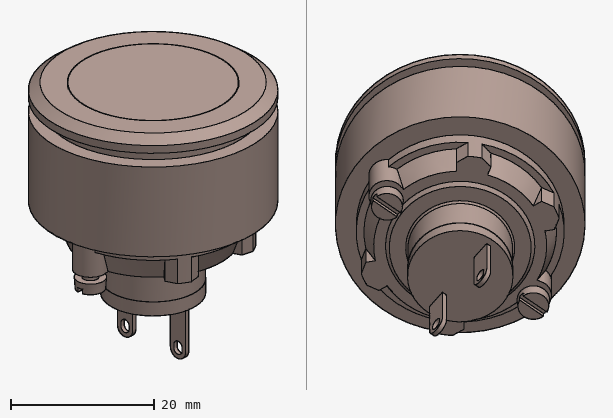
import cadquery as cq
import math

total_height = 41.3
rim_chamfer_z = 40.15
rim_bottom_z = 38.95
body_top_z = 36.8
body_bottom_z = 22.8
ring_bottom_z = 20.77
arm_bottom_z = 16.95
flange_bottom_z = 16.4
step_bottom_z = 16.1
collar_top_z = 10.7
collar_bottom_z = 8.5

body_radius = 34.8 / 2
top_face_radius = 15.78
rim_groove_radius = 15.07
ring_radius = 14.5
cone_top_radius = 13.42
cone_bottom_radius = 12.05
flange_top_radius = 10.4
flange_bottom_radius = 19.8 / 2
step_top_radius = 7.6
neck_radius = 14.6 / 2
collar_radius = 14.7 / 2

button_diameter = 23.8
button_hole_diameter = 23.95
button_gap_depth = 0.4

lug_angles = (30, 150, 210, 330)
boss_angles = (90, 270)
boss_center_radius = 12.95
boss_radius = 2.5
lug_shoulder_half_width = 2.45
lug_tip_half_width = 1.0

shank_diameter = 2.4
head_top_z = 15.75
head_bottom_z = 14.0
head_top_radius = 2.27
head_bottom_radius = 2.15
slot_width = 0.83
slot_depth = 0.75

terminal_spacing = 10.0
terminal_width = 2.9
terminal_thickness = 0.7
eye_width = 1.53
eye_height = 2.02
eye_center_z = 1.7


def make_turned_body():
    """Revolve the rim, body, ring, cone, flange, neck and collar as one profile."""
    profile = [
        (0, total_height),
        (top_face_radius, total_height),
        (body_radius, rim_chamfer_z),
        (body_radius, rim_bottom_z),
        (rim_groove_radius, rim_bottom_z),
        (rim_groove_radius, body_top_z),
        (body_radius, body_top_z),
        (body_radius, body_bottom_z),
        (ring_radius, body_bottom_z),
        (ring_radius, ring_bottom_z),
        (cone_top_radius, ring_bottom_z),
        (cone_bottom_radius, arm_bottom_z),
        (flange_top_radius, arm_bottom_z),
        (flange_bottom_radius, flange_bottom_z),
        (step_top_radius, flange_bottom_z),
        (neck_radius, step_bottom_z),
        (neck_radius, collar_top_z),
        (collar_radius, collar_top_z),
        (collar_radius, collar_bottom_z),
        (0, collar_bottom_z),
    ]
    return cq.Workplane("XZ").polyline(profile).close().revolve(360, (0, 0, 0), (0, 1, 0))


def make_button_gap():
    """Ring-shaped gap between the push button and the rim."""
    return (
        cq.Workplane("XY", origin=(0, 0, total_height - button_gap_depth))
        .circle(button_hole_diameter / 2)
        .circle(button_diameter / 2)
        .extrude(button_gap_depth)
    )


def make_lug():
    """Snap lug along +X with radial sides and a tapered nose flush with the ring."""
    shoulder_x = math.sqrt(cone_top_radius**2 - lug_shoulder_half_width**2)
    tip_x = math.sqrt(ring_radius**2 - lug_tip_half_width**2)
    return (
        cq.Workplane("XY", origin=(0, 0, arm_bottom_z))
        .moveTo(0, 0)
        .lineTo(shoulder_x, -lug_shoulder_half_width)
        .lineTo(tip_x, -lug_tip_half_width)
        .threePointArc((ring_radius, 0), (tip_x, lug_tip_half_width))
        .lineTo(shoulder_x, lug_shoulder_half_width)
        .close()
        .extrude(body_bottom_z - arm_bottom_z)
    )


def make_boss_with_screw():
    """Screw boss along +X: a wedge with a round end, plus the slotted screw below it."""
    boss = (
        cq.Workplane("XY", origin=(0, 0, arm_bottom_z))
        .moveTo(0, 0)
        .lineTo(boss_center_radius, -boss_radius)
        .threePointArc((boss_center_radius + boss_radius, 0), (boss_center_radius, boss_radius))
        .close()
        .extrude(body_bottom_z - arm_bottom_z)
    )
    shank = (
        cq.Workplane("XY", origin=(boss_center_radius, 0, head_top_z))
        .circle(shank_diameter / 2)
        .extrude(arm_bottom_z - head_top_z)
    )
    head = (
        cq.Workplane("XY", origin=(boss_center_radius, 0, head_bottom_z))
        .circle(head_bottom_radius)
        .workplane(offset=head_top_z - head_bottom_z)
        .circle(head_top_radius)
        .loft()
    )
    slot = cq.Workplane("XY", origin=(boss_center_radius, 0, head_bottom_z)).box(
        2 * head_top_radius, slot_width, slot_depth, centered=(True, True, False)
    )
    return boss.union(shank).union(head.cut(slot))


def make_terminal(center_x):
    """Flat terminal with a rounded tip and an oblong solder eye."""
    half_width = terminal_width / 2
    blade = (
        cq.Workplane("XZ", origin=(center_x, 0, 0))
        .moveTo(-half_width, collar_bottom_z)
        .lineTo(-half_width, half_width)
        .threePointArc((0, 0), (half_width, half_width))
        .lineTo(half_width, collar_bottom_z)
        .close()
        .extrude(terminal_thickness / 2, both=True)
    )
    eye = (
        cq.Workplane("XZ", origin=(center_x, 0, eye_center_z))
        .slot2D(eye_height, eye_width, 90)
        .extrude(terminal_thickness, both=True)
    )
    return blade.cut(eye)


result = make_turned_body().cut(make_button_gap())
for angle in lug_angles:
    result = result.union(make_lug().rotate((0, 0, 0), (0, 0, 1), angle))
for angle in boss_angles:
    result = result.union(make_boss_with_screw().rotate((0, 0, 0), (0, 0, 1), angle))
for side in (-1, 1):
    result = result.union(make_terminal(side * terminal_spacing / 2))